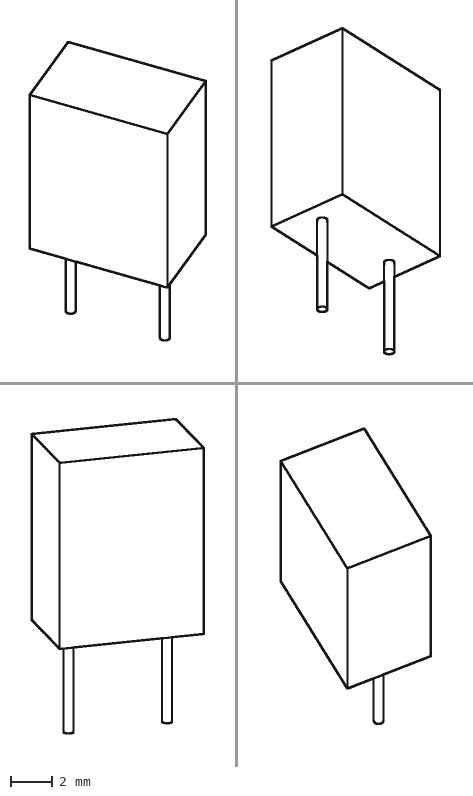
import cadquery as cq

total_height = 14.6
housing_width = 7.3
housing_depth = 4.5
housing_height = 9.5
lead_diameter = 0.5
lead_pitch = 5.0

lead_length = total_height - housing_height


def make_housing():
    """Plain block standing on Z = 0, centred on the Z axis."""
    return cq.Workplane("XY").box(
        housing_width, housing_depth, housing_height, centered=(True, True, False)
    )


def make_lead(x):
    """Round wire lead hanging from the underside of the housing."""
    return cq.Workplane("XY").center(x, 0).circle(lead_diameter / 2).extrude(-lead_length)


housing = make_housing()
leads = [make_lead(side * lead_pitch / 2) for side in (-1, 1)]

result = cq.Compound.makeCompound([housing.val(), *[lead.val() for lead in leads]])